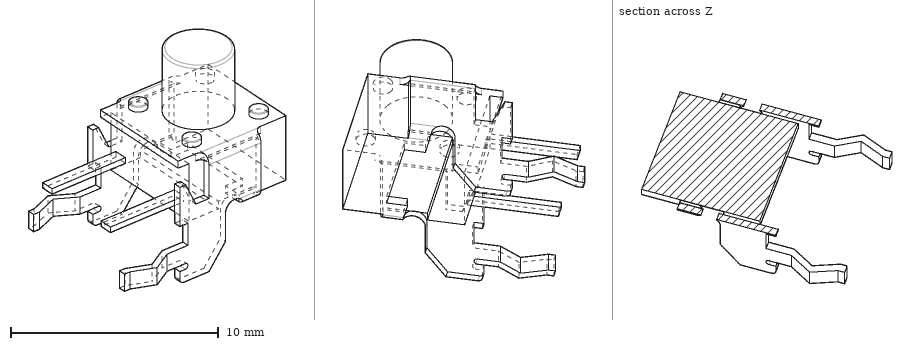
import cadquery as cq


overall_length = 10.52
overall_width = 8.41

body_width = 6.0
body_half = body_width / 2
body_height = 3.66
sheet = 0.4
groove_depth = 0.42

button_diameter = 3.5
button_top = 7.25
button_rounding = 0.13
rivet_diameter = 0.94
rivet_height = 0.32
rivet_rounding = 0.04
rivet_spacing = 4.12

cover_front = -3.65
relief_radius = 0.4
bend_radius = 0.5

bracket_outer = 3.55
bracket_inner = bracket_outer - sheet
bracket_back = 1.02
bracket_front = -2.19
bracket_bottom = -2.9
tip_y = body_half - overall_length
shoulder_z = 1.24
fang_start_y = -3.0
fang_top_y = -3.63
fang_top_z = 2.58
fang_bottom_z = 0.35
stop_y = -3.99
neck_y = -3.49
leg_back = -1.17
leg_chamfer_z = -1.59
hook_rounding = 0.24
slot_width = 0.32
slot_radius = slot_width / 2
arch_center_y = -0.59
arch_radius = arch_center_y - leg_back
tab_end_y = arch_center_y + arch_radius
tab_inner_x = 2.1

arm_top = -0.9
arm_bottom = -1.88
arm_bend_y = -4.78
arm_peak_y = -5.91
arm_peak_x = overall_width / 2
arm_end_bend_y = -7.17
arm_end_x = 3.69

lead_width = 0.73
lead_thickness = 0.32
lead_spacing = 4.49


def block(x_range, y_range, z_range):
    """Axis-aligned box given by its two limits along each axis."""
    sizes = [high - low for low, high in (x_range, y_range, z_range)]
    corner = (x_range[0], y_range[0], z_range[0])
    return cq.Workplane("XY").box(*sizes, centered=False).translate(corner)


def both_sides(shape):
    """The shape together with its mirror image across the YZ plane."""
    return shape.union(shape.mirror("YZ"))


def make_body():
    """Square body with a groove across its underside that takes the folded tabs."""
    body = cq.Workplane("XY").box(body_width, body_width, body_height, centered=(True, True, False))
    groove = block((-body_half, body_half), (leg_back, bracket_back), (0, groove_depth))
    return body.cut(groove)


def make_cover():
    """Flat cover plate lying on top of the body and overhanging it at the front."""
    return block((-body_half, body_half), (cover_front, body_half), (body_height - sheet, body_height))


def make_cap(diameter, top, rounding):
    """Upright cylinder with a rounded top edge, starting on the cover."""
    cap = cq.Workplane("XY").workplane(offset=body_height).circle(diameter / 2).extrude(top - body_height)
    return cap.faces(">Z").edges().fillet(rounding)


def make_flange():
    """Strip joining the cover to a bracket, with rounded reliefs at both ends."""
    relief_x = body_half + relief_radius
    return (
        cq.Workplane("XY")
        .workplane(offset=body_height - sheet)
        .moveTo(body_half, bracket_back + relief_radius)
        .radiusArc((relief_x, bracket_back), -relief_radius)
        .lineTo(bracket_outer, bracket_back)
        .lineTo(bracket_outer, bracket_front)
        .lineTo(relief_x, bracket_front)
        .radiusArc((body_half, bracket_front - relief_radius), -relief_radius)
        .close()
        .extrude(sheet)
    )


def make_wall():
    """Upright bracket wall with its fang, hooked leg and the arch behind the leg."""
    outline = (
        cq.Workplane("YZ")
        .workplane(offset=bracket_inner)
        .moveTo(bracket_back, body_height)
        .lineTo(bracket_front, body_height)
        .lineTo(bracket_front, shoulder_z)
        .lineTo(fang_start_y, shoulder_z)
        .lineTo(fang_top_y, fang_top_z)
        .lineTo(stop_y, fang_top_z)
        .lineTo(stop_y, fang_bottom_z)
        .lineTo(neck_y, fang_bottom_z)
        .lineTo(neck_y, arm_bottom)
        .lineTo(neck_y - slot_radius, arm_bottom)
        .radiusArc((neck_y - slot_radius, arm_bottom - slot_width), slot_radius)
        .lineTo(stop_y, arm_bottom - slot_width)
        .lineTo(stop_y, bracket_bottom + hook_rounding)
        .radiusArc((stop_y + hook_rounding, bracket_bottom), -hook_rounding)
        .lineTo(bracket_front, bracket_bottom)
        .lineTo(leg_back, leg_chamfer_z)
        .lineTo(leg_back, 0)
        .threePointArc((arch_center_y, arch_radius), (tab_end_y, 0))
        .lineTo(bracket_back, 0)
        .close()
    )
    return outline.extrude(sheet)


def make_arm():
    """Springy snap arm: a strip bent outward to a peak and back again."""
    bends = [
        (bracket_outer, neck_y),
        (bracket_outer, arm_bend_y),
        (arm_peak_x, arm_peak_y),
        (arm_end_x, arm_end_bend_y),
        (arm_end_x, tip_y),
    ]
    inner_bends = [(x - sheet, y) for x, y in reversed(bends)]
    strip = cq.Workplane("XY").workplane(offset=arm_bottom).polyline(bends + inner_bends).close()
    return strip.extrude(arm_top - arm_bottom)


def make_tab():
    """Tab folded under the body, cut away where the arch crosses it."""
    tab = block((tab_inner_x, bracket_outer), (tab_end_y, bracket_back), (0, groove_depth))
    arch = (
        cq.Workplane("YZ")
        .workplane(offset=bracket_inner)
        .center(arch_center_y, 0)
        .circle(arch_radius)
        .extrude(sheet)
    )
    return tab.cut(arch)


def make_bracket():
    """One bracket on the +X side, with its upper and lower folds rounded on the outside."""
    sheet_metal = make_flange().union(make_wall()).union(make_tab())
    folded_space = (
        cq.Workplane("XY")
        .box(2 * bracket_outer, overall_length, body_height, centered=(True, True, False))
        .edges("|Y")
        .fillet(bend_radius)
    )
    leg_space = block((0, bracket_outer), (stop_y, arch_center_y), (bracket_bottom, shoulder_z))
    return sheet_metal.intersect(folded_space.union(leg_space)).union(make_arm())


def make_lead():
    """Flat lead leaving the front of the body."""
    lead_x = lead_spacing / 2
    x_range = (lead_x - lead_width / 2, lead_x + lead_width / 2)
    return block(x_range, (tip_y, -body_half), (shoulder_z - lead_thickness, shoulder_z))


result = make_body().union(make_cover())
result = result.union(make_cap(button_diameter, button_top, button_rounding))
rivet = make_cap(rivet_diameter, body_height + rivet_height, rivet_rounding)
for x_side in (-1, 1):
    for y_side in (-1, 1):
        place = (x_side * rivet_spacing / 2, y_side * rivet_spacing / 2, 0)
        result = result.union(rivet.translate(place))
result = result.union(both_sides(make_bracket()))
result = result.union(both_sides(make_lead()))